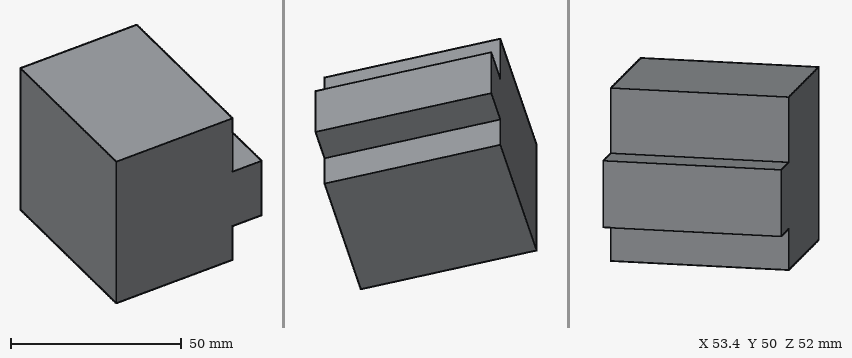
import cadquery as cq

width = 53.35
depth = 50.0
height = 51.95

block_depth = 40.0
tongue_depth = depth - block_depth
tongue_height = 20.0
tongue_bottom = 12.4

block = cq.Workplane("XY").box(width, block_depth, height, centered=False)

tongue = (
    cq.Workplane("XY")
    .box(width, tongue_depth, tongue_height, centered=False)
    .translate((0, block_depth, tongue_bottom))
)

result = block.union(tongue)